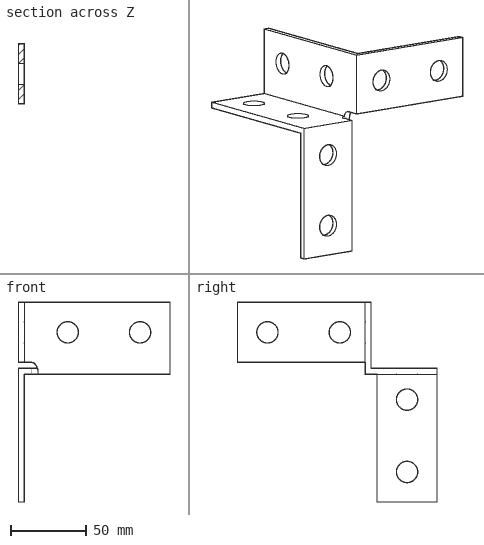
import cadquery as cq

thickness = 4.0
bend_depth = 7.81
leg_width = 40.0

web_flat = 93.0
flange_flat = 81.0

hole_diameter = 14.0
hole_end_distance = 20.0
hole_spacing = 48.0

relief_rounding = 4.4
relief_length = 13.2

web_length = bend_depth + web_flat
web_width = bend_depth + leg_width
flange_length = bend_depth + flange_flat
flange_tip = thickness - flange_length
hole_height = web_width - leg_width / 2


def box(x_range, y_range, z_range):
    """Axis-aligned box given by its limits along each axis."""
    size = [high - low for low, high in (x_range, y_range, z_range)]
    corner = (x_range[0], y_range[0], z_range[0])
    return cq.Workplane("XY").box(*size, centered=False).translate(corner)


def hole_pair(plane, leg_tip, inward):
    """Two hole cutters placed along a leg, counted inward from its tip."""
    first = leg_tip + inward * hole_end_distance
    second = first + inward * hole_spacing
    depth = -thickness if plane == "XZ" else thickness
    return (
        cq.Workplane(plane)
        .pushPoints([(first, hole_height), (second, hole_height)])
        .circle(hole_diameter / 2)
        .extrude(depth)
    )


def upright_half():
    """Upright web in the XZ plane with its flange turned towards -Y."""
    web = box((0, web_length), (0, thickness), (0, web_width))
    flange = box((0, thickness), (flange_tip, thickness), (bend_depth, web_width))
    web_holes = hole_pair("XZ", web_length, -1)
    flange_holes = hole_pair("YZ", flange_tip, 1)
    return web.union(flange).cut(web_holes).cut(flange_holes)


def relief_outline(y):
    """Relief outline on one face of the upright web, from the mitre up to the flange."""
    mitre_height = y
    rounding_height = bend_depth - mitre_height
    return (
        cq.Workplane("XZ", origin=(0, y, mitre_height))
        .lineTo(relief_length, 0)
        .ellipseArc(relief_rounding, rounding_height, 0, 90)
        .lineTo(0, rounding_height)
        .close()
        .wire()
        .val()
    )


def upright_relief():
    """Cutter for the upright side of the relief, mitred along the corner of the webs."""
    outer = relief_outline(0)
    inner = relief_outline(thickness)
    return cq.Workplane(cq.Solid.makeLoft([outer, inner], ruled=True))


def with_mirror(upright):
    """Join a shape with its mirror image in the plane Y = Z."""
    return upright.union(upright.mirror(cq.Vector(0, 1, -1)))


result = with_mirror(upright_half()).cut(with_mirror(upright_relief()))